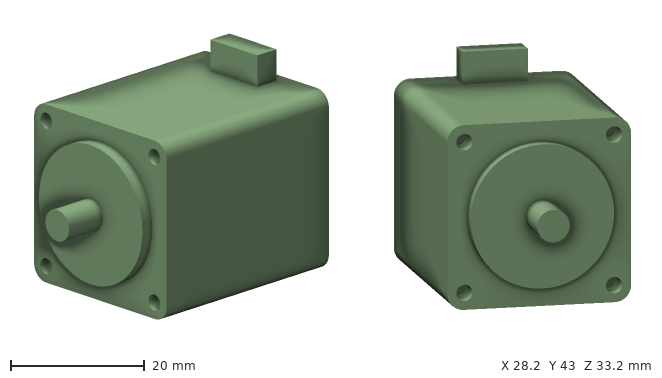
import cadquery as cq

total_length = 43.0
body_side = 28.2
corner_radius = 2.5

boss_diameter = 22.0
boss_length = 2.0
shaft_diameter = 5.0
shaft_length = 7.0
body_length = total_length - boss_length - shaft_length

hole_diameter = 2.5
hole_spacing = 23.0
hole_depth = 4.0

connector_width = 10.0
connector_length = 4.0
connector_height = 5.0
connector_rear_gap = 2.0


def front_cylinder(diameter, length):
    """Cylinder standing forward (-Y) from the front face, centred on the shaft axis."""
    return cq.Workplane("XZ").circle(diameter / 2).extrude(length)


body = (
    cq.Workplane("XZ")
    .rect(body_side, body_side)
    .extrude(-body_length)
    .edges("|Y")
    .fillet(corner_radius)
)

mounting_holes = (
    cq.Workplane("XZ")
    .rect(hole_spacing, hole_spacing, forConstruction=True)
    .vertices()
    .circle(hole_diameter / 2)
    .extrude(-hole_depth)
)

boss = front_cylinder(boss_diameter, boss_length)
shaft = front_cylinder(shaft_diameter, boss_length + shaft_length)

connector_center_y = body_length - connector_rear_gap - connector_length / 2
connector = (
    cq.Workplane("XY", origin=(0, connector_center_y, body_side / 2))
    .rect(connector_width, connector_length)
    .extrude(connector_height)
)

result = body.cut(mounting_holes).union(boss).union(shaft).union(connector)